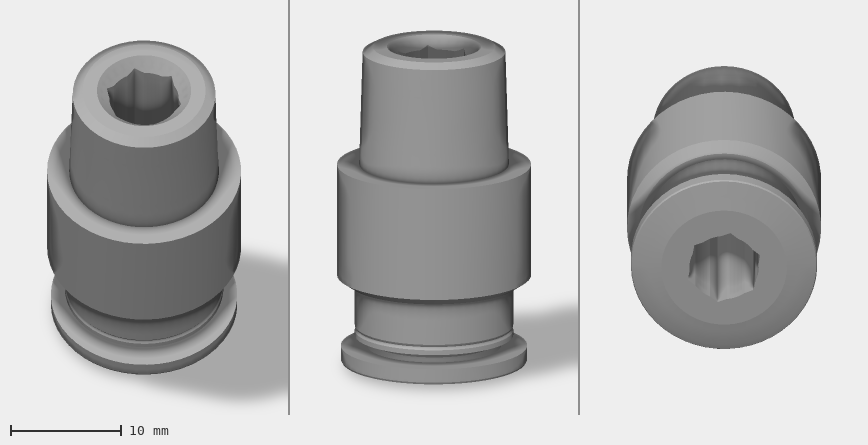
import cadquery as cq
import math

total_height = 29.8
flange_bevel_top = 0.5
flange_edge_top = 0.7
flange_top = 1.95
neck_flare_top = 2.32
ring_bottom = 2.92
ring_edge = 3.37
groove_floor = 3.65
collar_bottom = 3.87
body_chamfer_bottom = 7.8
body_chamfer_top = 8.5
body_top = 18.83
spigot_chamfer_bottom = 29.32

base_diameter = 11.32
flange_diameter = 16.8
flange_edge_inset = 0.1
neck_diameter = 11.4
neck_flare_diameter = 12.1
collar_diameter = 14.3
groove_depth = 0.15
body_diameter = 17.5
body_chamfer_width = 1.05
spigot_base_diameter = 13.5
spigot_tip_diameter = 12.87
top_face_diameter = 11.1

hex_across_flats = 6.02
bore_diameter = 6.25
countersink_diameter = 8.5


def turned_body():
    """Revolve the stepped outer profile about Z."""
    flange_radius = flange_diameter / 2
    neck_radius = neck_diameter / 2
    collar_radius = collar_diameter / 2
    body_radius = body_diameter / 2
    profile = [
        (0, 0),
        (base_diameter / 2, 0),
        (flange_radius - flange_edge_inset, flange_bevel_top),
        (flange_radius, flange_edge_top),
        (flange_radius, flange_top),
        (neck_flare_diameter / 2, flange_top),
        (neck_radius, neck_flare_top),
        (neck_radius, ring_bottom),
        (collar_radius, ring_bottom),
        (collar_radius, ring_edge),
        (collar_radius - groove_depth, groove_floor),
        (collar_radius, collar_bottom),
        (collar_radius, body_chamfer_bottom),
        (body_radius - body_chamfer_width, body_chamfer_bottom),
        (body_radius, body_chamfer_top),
        (body_radius, body_top),
        (spigot_base_diameter / 2, body_top),
        (spigot_tip_diameter / 2, spigot_chamfer_bottom),
        (top_face_diameter / 2, total_height),
        (0, total_height),
    ]
    return cq.Workplane("XZ").polyline(profile).close().revolve(360, (0, 0), (0, 1))


def hex_socket():
    """Hexagonal prism, corners on the Y axis, joined with a round bore."""
    corner_diameter = hex_across_flats / math.cos(math.radians(30))
    hexagon = (
        cq.Workplane("XY")
        .polygon(6, corner_diameter)
        .extrude(total_height)
        .rotate((0, 0, 0), (0, 0, 1), 30)
    )
    bore = cq.Workplane("XY").circle(bore_diameter / 2).extrude(total_height)
    return hexagon.union(bore)


def countersink():
    """45 degree cone pointing down from the top face."""
    radius = countersink_diameter / 2
    return (
        cq.Workplane("XZ")
        .polyline([(0, total_height), (radius, total_height), (0, total_height - radius)])
        .close()
        .revolve(360, (0, 0), (0, 1))
    )


result = turned_body().cut(hex_socket()).cut(countersink())